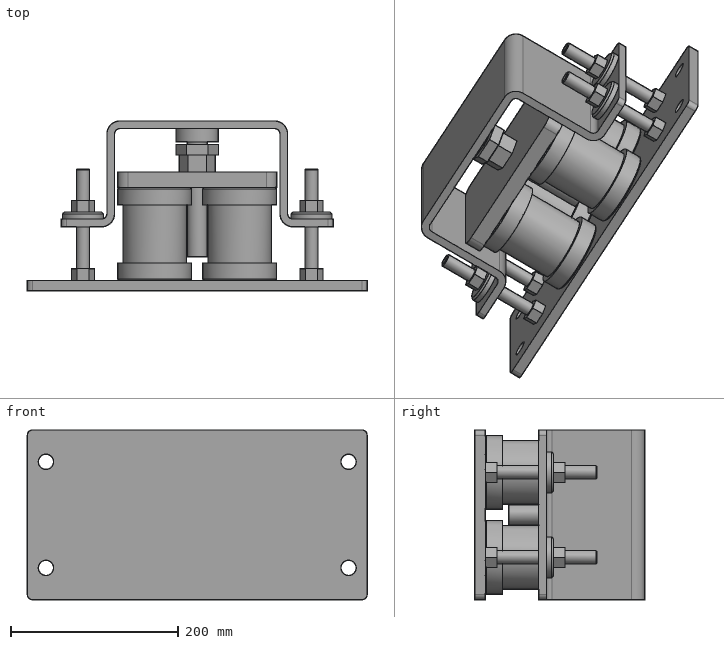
import cadquery as cq
import math

PLATE_WIDTH = 406.5
HEIGHT = 203.0
PLATE_THICKNESS = 12.5
CORNER_RADIUS = 6.5
HOLE_DIAMETER = 18.0
HOLE_X = 181.0
HOLE_Z = 63.5

DEPTH = 203.0
BRACKET_THICKNESS = 9.5
BRACKET_HALF_WIDTH = 162.5
HAT_HALF_WIDTH = 108.0
FLANGE_FRONT_Y = 76.5
BEND_INNER_RADIUS = 6.5

STUD_X = 136.5
GRID_Z = 51.0
STUD_DIAMETER = 16.0
STUD_END_Y = 146.0
STUD_CHAMFER = 1.2
NUT_ACROSS_FLATS = 24.0
NUT_HEIGHT = 14.0
WASHER_DIAMETER = 49.0
WASHER_HEIGHT = 8.5
WASHER_CHAMFER = 2.5

SPOOL_X = 51.0
SPOOL_BODY_DIAMETER = 76.5
SPOOL_RIM_DIAMETER = 88.5
SPOOL_RIM_HEIGHT = 20.7
SPOOL_RIM_CHAMFER = 1.5
PRESSURE_PLATE_FRONT_Y = 123.5
PRESSURE_PLATE_BACK_Y = 142.2
PRESSURE_PLATE_RADIUS = 12.5

SCREW_DIAMETER = 24.5
SCREW_FRONT_Y = 40.5
SMALL_HEX_CORNERS = 43.5
LARGE_HEX_CORNERS = 51.0
SMALL_HEX_BACK_Y = 162.0
LARGE_HEX_BACK_Y = 175.0
COLLAR_FRONT_Y = 178.0
COLLAR_DIAMETER = 51.0

FLANGE_BACK_Y = FLANGE_FRONT_Y + BRACKET_THICKNESS
HAT_INNER_Y = DEPTH - BRACKET_THICKNESS


def plane_at(y):
    """Plane facing +Y, with local x along -X and local y along +Z."""
    return cq.Workplane(cq.Plane(origin=(0, y, 0), xDir=(-1, 0, 0), normal=(0, 1, 0)))


def rod(diameter, y_start, y_end, x=0, z=0):
    return plane_at(y_start).center(-x, z).circle(diameter / 2).extrude(y_end - y_start)


def hexagon(corner_diameter, y_start, y_end, x=0, z=0):
    """Hexagonal prism with corners toward +X and -X."""
    return plane_at(y_start).center(-x, z).polygon(6, corner_diameter).extrude(y_end - y_start)


def slab(width, height, y_start, y_end, radius):
    block = plane_at(y_start).rect(width, height).extrude(y_end - y_start)
    return block.edges("|Y").fillet(radius)


def base_plate():
    plate = slab(PLATE_WIDTH, HEIGHT, 0, PLATE_THICKNESS, CORNER_RADIUS)
    for x in (-HOLE_X, HOLE_X):
        for z in (-HOLE_Z, HOLE_Z):
            plate = plate.cut(rod(HOLE_DIAMETER, 0, PLATE_THICKNESS, x, z))
    return plate


def bracket():
    inner_half_width = HAT_HALF_WIDTH - BRACKET_THICKNESS
    right_half = [
        (inner_half_width, HAT_INNER_Y),
        (inner_half_width, FLANGE_FRONT_Y),
        (BRACKET_HALF_WIDTH, FLANGE_FRONT_Y),
        (BRACKET_HALF_WIDTH, FLANGE_BACK_Y),
        (HAT_HALF_WIDTH, FLANGE_BACK_Y),
        (HAT_HALF_WIDTH, DEPTH),
    ]
    left_half = [(-x, y) for x, y in reversed(right_half)]
    hat = cq.Workplane("XY").polyline(right_half + left_half).close().extrude(HEIGHT / 2, both=True)

    bend_outer_radius = BEND_INNER_RADIUS + BRACKET_THICKNESS
    inner_bends = [(inner_half_width, HAT_INNER_Y), (HAT_HALF_WIDTH, FLANGE_BACK_Y)]
    outer_bends = [(HAT_HALF_WIDTH, DEPTH), (inner_half_width, FLANGE_FRONT_Y)]
    for bends, radius in ((inner_bends, BEND_INNER_RADIUS), (outer_bends, bend_outer_radius)):
        for x, y in bends:
            for side in (-1, 1):
                hat = hat.edges(cq.NearestToPointSelector((side * x, y, 0))).fillet(radius)

    flange_ends = hat.faces("<X or >X").edges("|Y")
    return flange_ends.fillet(CORNER_RADIUS)


def stud(x, z):
    nut_corners = NUT_ACROSS_FLATS / math.cos(math.pi / 6)
    washer_top = FLANGE_BACK_Y + WASHER_HEIGHT
    shank = rod(STUD_DIAMETER, PLATE_THICKNESS, STUD_END_Y, x, z).faces(">Y").chamfer(STUD_CHAMFER)
    washer = rod(WASHER_DIAMETER, FLANGE_BACK_Y, washer_top, x, z).faces(">Y").chamfer(WASHER_CHAMFER)
    lower_nut = hexagon(nut_corners, PLATE_THICKNESS, PLATE_THICKNESS + NUT_HEIGHT, x, z)
    upper_nut = hexagon(nut_corners, washer_top, washer_top + NUT_HEIGHT, x, z)
    return shank.union(washer).union(lower_nut).union(upper_nut)


def spool(x, z):
    front, back = PLATE_THICKNESS, PRESSURE_PLATE_FRONT_Y
    body = rod(SPOOL_BODY_DIAMETER, front, back, x, z)
    front_rim = rod(SPOOL_RIM_DIAMETER, front, front + SPOOL_RIM_HEIGHT, x, z)
    back_rim = rod(SPOOL_RIM_DIAMETER, back - SPOOL_RIM_HEIGHT, back, x, z)
    front_rim = front_rim.faces("<Y").chamfer(SPOOL_RIM_CHAMFER)
    back_rim = back_rim.faces(">Y").chamfer(SPOOL_RIM_CHAMFER)
    return body.union(front_rim).union(back_rim)


def pressure_plate():
    width = 2 * SPOOL_X + SPOOL_RIM_DIAMETER
    height = 2 * GRID_Z + SPOOL_RIM_DIAMETER
    return slab(width, height, PRESSURE_PLATE_FRONT_Y, PRESSURE_PLATE_BACK_Y, PRESSURE_PLATE_RADIUS)


def adjusting_screw():
    shank = rod(SCREW_DIAMETER, SCREW_FRONT_Y, COLLAR_FRONT_Y)
    small_hex = hexagon(SMALL_HEX_CORNERS, PRESSURE_PLATE_BACK_Y, SMALL_HEX_BACK_Y)
    large_hex = hexagon(LARGE_HEX_CORNERS, SMALL_HEX_BACK_Y, LARGE_HEX_BACK_Y)
    collar = rod(COLLAR_DIAMETER, COLLAR_FRONT_Y, HAT_INNER_Y)
    return shank.union(small_hex).union(large_hex).union(collar)


result = base_plate().union(bracket()).union(pressure_plate()).union(adjusting_screw())
for side in (-1, 1):
    for grid_z in (-GRID_Z, GRID_Z):
        result = result.union(stud(side * STUD_X, grid_z))
        result = result.union(spool(side * SPOOL_X, grid_z))